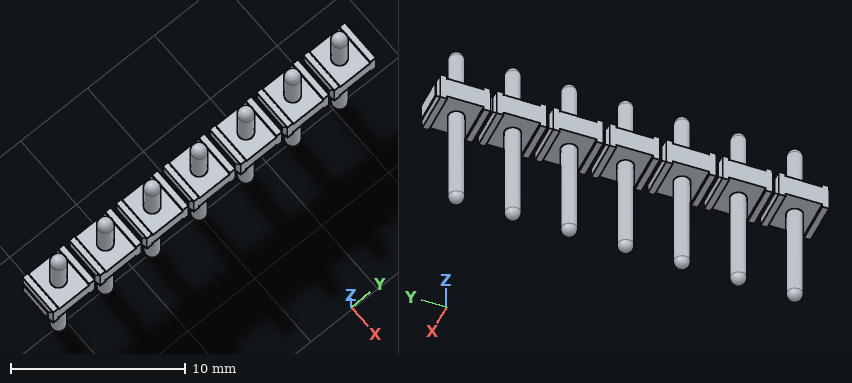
import cadquery as cq

row_length = 24.5
pin_count = 7
pitch = row_length / pin_count

housing_width = 2.8
housing_height = 1.81
end_bevel_inset = 0.3
end_bevel_length = 0.15
neck_length = 0.1
end_rib_length = 0.42
recess_depth = 0.2

pin_diameter = 1.0
pin_length = 12
pin_above_housing = 3.5

pin_radius = pin_diameter / 2
straight_length = pitch - neck_length - 2 * end_bevel_length
recess_length = straight_length - 2 * end_rib_length
neck_width = housing_width - 2 * end_bevel_inset
neck_height = housing_height - 2 * end_bevel_inset
pin_center_z = housing_height / 2 + pin_above_housing - pin_length / 2


def make_end_bevel(side):
    """Tapered end of a segment; side is +1 or -1 along Y."""
    return (
        cq.Workplane("XZ", origin=(0, side * straight_length / 2, 0))
        .rect(housing_width, housing_height)
        .workplane(offset=-side * end_bevel_length)
        .rect(neck_width, neck_height)
        .loft(ruled=True)
    )


def make_housing_segment():
    """One segment, bevelled at both ends and recessed above and below."""
    segment = cq.Workplane("XY").box(housing_width, straight_length, housing_height)
    segment = segment.union(cq.Workplane("XY").box(neck_width, pitch, neck_height))
    for side in (-1, 1):
        segment = segment.union(make_end_bevel(side))
        recess = (
            cq.Workplane("XY")
            .box(housing_width, recess_length, 2 * recess_depth)
            .translate((0, 0, side * housing_height / 2))
        )
        segment = segment.cut(recess)
    return segment


def make_pin_tip(side):
    """Ball that rounds one end of the pin; side is +1 or -1 along Z."""
    tip_z = pin_center_z + side * (pin_length / 2 - pin_radius)
    return cq.Workplane("XY").sphere(pin_radius).translate((0, 0, tip_z))


def make_pin():
    """Pin on the vertical axis of a segment."""
    return (
        cq.Workplane("XY")
        .circle(pin_radius)
        .extrude(pin_length - 2 * pin_radius)
        .translate((0, 0, pin_center_z - pin_length / 2 + pin_radius))
        .union(make_pin_tip(1))
        .union(make_pin_tip(-1))
    )


unit = make_housing_segment().union(make_pin())

first_pin_y = (pitch - row_length) / 2
result = unit.translate((0, first_pin_y, 0))
for index in range(1, pin_count):
    result = result.union(unit.translate((0, first_pin_y + index * pitch, 0)))